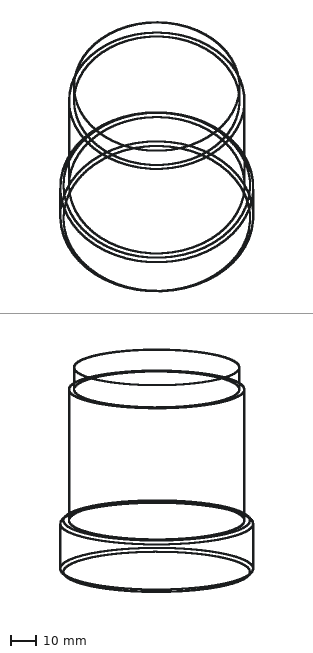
import cadquery as cq

base_diameter = 77.0
body_diameter = 70.0
cap_diameter = 66.0

total_height = 83.5
base_height = 21.0
cap_height = 9.0
body_height = total_height - base_height - cap_height

base_chamfer = 1.3


def make_base():
    """Wide round foot, bevelled on both rims."""
    base = cq.Workplane("XY").circle(base_diameter / 2).extrude(base_height)
    return base.faces("<Z or >Z").edges().chamfer(base_chamfer)


def add_step(part, diameter, height):
    """Stack a coaxial cylinder on the top face of the part."""
    return part.faces(">Z").workplane().circle(diameter / 2).extrude(height)


result = make_base()
result = add_step(result, body_diameter, body_height)
result = add_step(result, cap_diameter, cap_height)